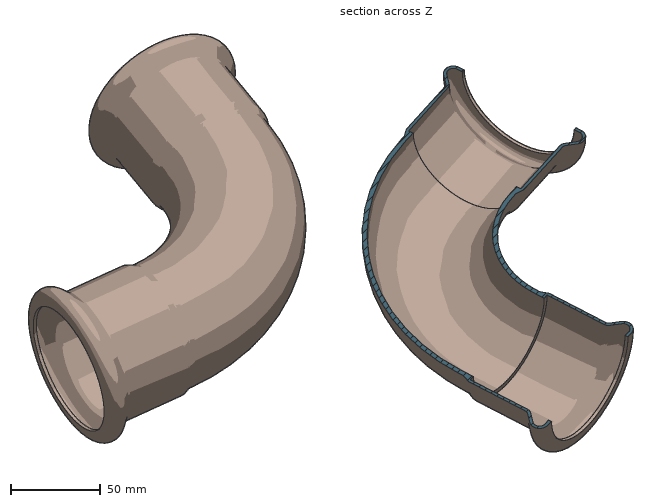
import cadquery as cq
import math


leg_length = 150.0
bead_diameter = 94.6
socket_diameter = 80.1
socket_bore = 76.0
tube_diameter = 76.1
tube_bore = 70.2
bead_radius = 5.7
bead_cone_angle = 45.0
taper_start = 55.0
taper_length = 4.8
bend_start = 62.8
flank_fillet = 2.5
taper_fillet = 2.0

wall = (socket_diameter - socket_bore) / 2
socket_radius = socket_diameter / 2
bore_radius = socket_bore / 2
tube_radius = tube_diameter / 2
tube_bore_radius = tube_bore / 2
taper_end = taper_start + taper_length
bead_center_radius = bead_diameter / 2 - bead_radius
groove_radius = bead_radius - wall
bend_radius = leg_length - bend_start


def bead_point(radius, angle):
    """Point on a circle about the bead centre, angle measured from the leg axis direction."""
    turn = math.radians(angle)
    return (
        bead_radius + radius * math.cos(turn),
        bead_center_radius + radius * math.sin(turn),
    )


def flank_corner(tangent_point, cylinder_radius):
    """Point where the bead flank meets a cylinder around the leg axis."""
    distance, radius = tangent_point
    run = (radius - cylinder_radius) / math.tan(math.radians(bead_cone_angle))
    return (distance + run, cylinder_radius)


def line_and_rounding(path, before, corner, after, radius):
    """Extend the path to a corner and round that corner with a tangent arc."""
    corner_vector = cq.Vector(*corner)
    to_before = (cq.Vector(*before) - corner_vector).normalized()
    to_after = (cq.Vector(*after) - corner_vector).normalized()
    half_angle = to_before.getAngle(to_after) / 2
    setback = radius / math.tan(half_angle)
    center_distance = radius / math.sin(half_angle)
    bisector = (to_before + to_after).normalized()
    start = corner_vector + to_before * setback
    middle = corner_vector + bisector * (center_distance - radius)
    end = corner_vector + to_after * setback
    path = path.lineTo(start.x, start.y)
    return path.threePointArc((middle.x, middle.y), (end.x, end.y))


def make_socket():
    """Socket revolved about X, with its mouth at X = 0 and the tube joint at X = bend_start."""
    flank_direction = 90 - bead_cone_angle
    arc_middle = (180 + flank_direction) / 2

    bead_tangent = bead_point(bead_radius, flank_direction)
    outer_flank_end = flank_corner(bead_tangent, socket_radius)
    socket_end = (taper_start, socket_radius)
    tube_start = (taper_end, tube_radius)
    tube_joint = (bend_start, tube_radius)

    groove_tangent = bead_point(groove_radius, flank_direction)
    inner_flank_end = flank_corner(groove_tangent, bore_radius)
    tube_stop = (taper_start, bore_radius)

    path = cq.Workplane("XY").moveTo(0, bore_radius)
    path = path.lineTo(0, bead_center_radius)
    path = path.threePointArc(bead_point(bead_radius, arc_middle), bead_tangent)
    path = line_and_rounding(path, bead_tangent, outer_flank_end, socket_end, flank_fillet)
    path = line_and_rounding(path, outer_flank_end, socket_end, tube_start, taper_fillet)
    path = line_and_rounding(path, socket_end, tube_start, tube_joint, taper_fillet)
    path = path.lineTo(*tube_joint)

    path = path.lineTo(bend_start, tube_bore_radius)
    path = path.lineTo(taper_start, tube_bore_radius)
    path = path.lineTo(*tube_stop)
    path = line_and_rounding(path, tube_stop, inner_flank_end, groove_tangent, flank_fillet + wall)
    path = path.lineTo(*groove_tangent)
    path = path.threePointArc(bead_point(groove_radius, arc_middle), (wall, bead_center_radius))
    path = path.lineTo(wall, bore_radius)
    return path.close().revolve(360, (0, 0, 0), (1, 0, 0))


def make_bend():
    """Quarter-turn tube between the two sockets."""
    return (
        cq.Workplane("YZ", origin=(-bend_radius, 0, 0))
        .circle(tube_radius)
        .circle(tube_bore_radius)
        .revolve(90, (-bend_radius, 1, 0), (-bend_radius, 0, 0))
    )


x_socket = make_socket().translate((-leg_length, 0, 0))
y_socket = x_socket.rotate((0, 0, 0), (0, 0, 1), 90)
result = make_bend().union(x_socket).union(y_socket)